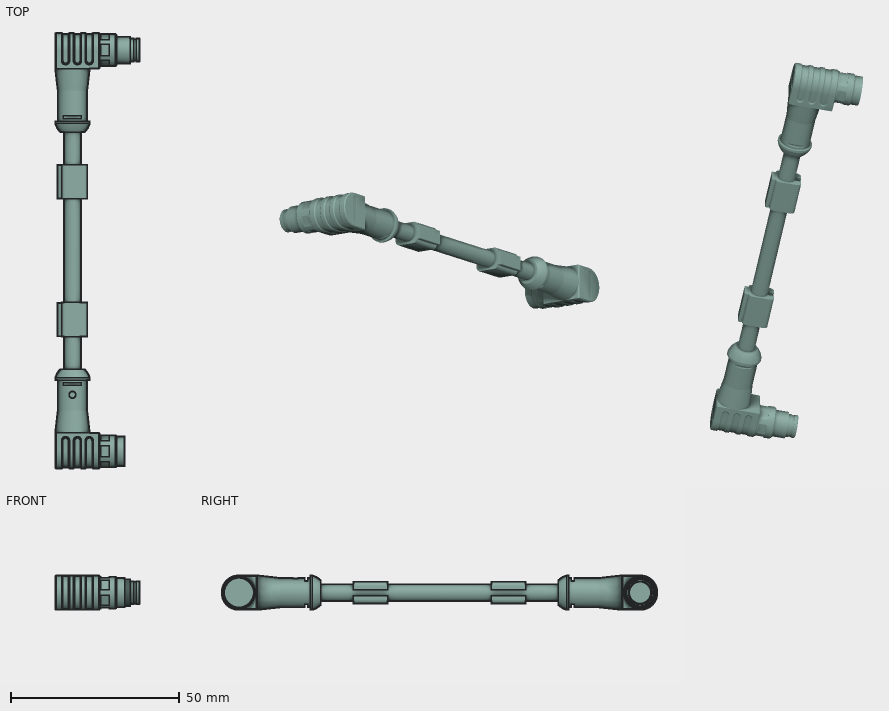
import cadquery as cq
import math

OVERALL_LENGTH = 129.6
OVERALL_WIDTH = 25.2
CABLE_RADIUS = 5.1 / 2

HOUSING_RADIUS = 10.3 / 2
HOUSING_LENGTH = 13.25
HOUSING_SQUARE_DEPTH = 5.5
HOUSING_CHAMFER = 0.3
HOUSING_BACK = -HOUSING_RADIUS
HOUSING_FRONT = HOUSING_BACK + HOUSING_LENGTH
PLUG_AXIS_Y = OVERALL_LENGTH / 2 - HOUSING_RADIUS

SLOT_COUNT = 3
SLOT_PITCH = 3.51
SLOT_WIDTH = 2.36
SLOT_FLOOR_WIDTH = 1.7
SLOT_REACH = 4.3
SLOT_DEPTH = 0.3

PANEL_WIDTH = 1.56
PANEL_HEIGHT = 8.2
PANEL_DEPTH = 0.1

SLEEVE_RADIUS = 8.8 / 2
SLEEVE_ROOT_RADIUS = HOUSING_RADIUS
SLEEVE_TAPER_MID_RADIUS = 4.8
COLLAR_RADIUS = 10.3 / 2
COLLAR_END_RADIUS = 7.2 / 2
TAPER_END = 17.2
COLLAR_START = 26.3
COLLAR_RIM_END = 26.95
COLLAR_END = 29.55
COLLAR_BULGE = 0.15
NOTCH_START = 24.75
NOTCH_WIDTH = 0.8
NOTCH_FLOOR_Z = 3.5

DOT_RADIUS = 2.0 / 2
DOT_DISTANCE = 21.95
DOT_FLOOR_Z = 4.2

NUT_RADIUS = 9.6 / 2
NUT_END = 13.2
NUT_CHAMFER = 0.4
NUT_FLAT_COUNT = 6
NUT_FLAT_DISTANCE = 4.5
NUT_FLAT_START = HOUSING_FRONT + 0.3
NUT_FLAT_END = 10.95

SOCKET_RADIUS = 8.8 / 2
SOCKET_END = 15.5
PIN_SHELL_RADIUS = 8.0 / 2
PIN_SHELL_END = 17.15
TIP_RADIUS = 6.9 / 2
TIP_END = HOUSING_BACK + OVERALL_WIDTH
TIP_CHAMFER = 0.2
TIP_GROOVE_RADIUS = 6.5 / 2
TIP_GROOVE_START = 18.2
TIP_GROOVE_END = 19.0

CLIP_SPACING = 41.0
CLIP_LENGTH = 10.2
CLIP_HALF_HEIGHT = 6.5 / 2
CLIP_HALF_WIDTH = 4.45
CLIP_BACK = -3.2
CLIP_BACK_ROUND = 1.1
CLIP_LIP_ROUND = 1.3
LABEL_LENGTH = 10.0
LABEL_HALF_HEIGHT = 2.15
LABEL_EDGE_ROUND = 0.25
CLIP_OPENING = 1.8


def round_bar(radius, start, end):
    """Cylinder on the plug axis between two X positions."""
    plane = cq.Workplane("YZ", origin=(start, PLUG_AXIS_Y, 0))
    return plane.circle(radius).extrude(end - start)


def grip_slot(x):
    """Cutter with sloping walls: one tapered slot on each flat side, joined around the half round."""
    half_width = SLOT_WIDTH / 2
    half_floor = SLOT_FLOOR_WIDTH / 2
    wall_angle = math.degrees(math.atan2(half_width - half_floor, SLOT_DEPTH))
    floor_radius = HOUSING_RADIUS - SLOT_DEPTH
    straight_end = half_width - SLOT_REACH

    top = (
        cq.Workplane("XY", origin=(x, PLUG_AXIS_Y, HOUSING_RADIUS))
        .moveTo(-half_width, SLOT_REACH)
        .lineTo(-half_width, straight_end)
        .threePointArc((0, -SLOT_REACH), (half_width, straight_end))
        .lineTo(half_width, SLOT_REACH)
        .close()
        .extrude(-SLOT_DEPTH, taper=wall_angle)
    )
    flat_side = cq.Workplane("XY").box(SLOT_PITCH, SLOT_REACH, HOUSING_RADIUS, centered=(True, False, False))
    top = top.intersect(flat_side.translate((x, PLUG_AXIS_Y - SLOT_REACH, HOUSING_RADIUS / 2)))

    overshoot = SLOT_DEPTH
    wall_slope = (half_width - half_floor) / SLOT_DEPTH
    outer_half = half_width + overshoot * wall_slope
    around = (
        cq.Workplane("XZ", origin=(x, PLUG_AXIS_Y, 0))
        .moveTo(-outer_half, HOUSING_RADIUS + overshoot)
        .lineTo(-half_floor, floor_radius)
        .lineTo(half_floor, floor_radius)
        .lineTo(outer_half, HOUSING_RADIUS + overshoot)
        .close()
        .revolve(180, (0, 0, 0), (-1, 0, 0))
    )
    return top.union(top.mirror("XY")).union(around)


def housing():
    """D-shaped block along X with grip slots and a shallow panel in its back face."""
    body = (
        cq.Workplane("YZ", origin=(HOUSING_BACK, PLUG_AXIS_Y, 0))
        .moveTo(-HOUSING_SQUARE_DEPTH, -HOUSING_RADIUS)
        .lineTo(0, -HOUSING_RADIUS)
        .threePointArc((HOUSING_RADIUS, 0), (0, HOUSING_RADIUS))
        .lineTo(-HOUSING_SQUARE_DEPTH, HOUSING_RADIUS)
        .close()
        .extrude(HOUSING_LENGTH)
        .faces("<X or >X")
        .chamfer(HOUSING_CHAMFER)
    )
    middle = HOUSING_BACK + HOUSING_LENGTH / 2
    for index in range(SLOT_COUNT):
        offset = index - (SLOT_COUNT - 1) / 2
        body = body.cut(grip_slot(middle + offset * SLOT_PITCH))
    panel = cq.Workplane("XY").box(2 * PANEL_DEPTH, PANEL_WIDTH, PANEL_HEIGHT)
    return body.cut(panel.translate((HOUSING_BACK, PLUG_AXIS_Y, 0)))


def sleeve():
    """Turned cable sleeve: bulged taper, cylinder and rounded collar, with a notch on each side."""
    outer_end = OVERALL_LENGTH / 2
    housing_side = PLUG_AXIS_Y - HOUSING_SQUARE_DEPTH
    taper_y = outer_end - TAPER_END
    collar_y = outer_end - COLLAR_START
    rim_y = outer_end - COLLAR_RIM_END
    end_y = outer_end - COLLAR_END
    collar_mid_radius = (COLLAR_RADIUS + COLLAR_END_RADIUS) / 2 + COLLAR_BULGE
    body = (
        cq.Workplane("XY")
        .moveTo(0, housing_side)
        .lineTo(SLEEVE_ROOT_RADIUS, housing_side)
        .threePointArc((SLEEVE_TAPER_MID_RADIUS, (housing_side + taper_y) / 2), (SLEEVE_RADIUS, taper_y))
        .lineTo(SLEEVE_RADIUS, collar_y)
        .lineTo(COLLAR_RADIUS, collar_y)
        .lineTo(COLLAR_RADIUS, rim_y)
        .threePointArc((collar_mid_radius, (rim_y + end_y) / 2 - COLLAR_BULGE), (COLLAR_END_RADIUS, end_y))
        .lineTo(0, end_y)
        .close()
        .revolve(360, (0, 0, 0), (0, 1, 0))
    )
    notch_height = SLEEVE_RADIUS - NOTCH_FLOOR_Z
    notch = cq.Workplane("XY").box(2 * SLEEVE_RADIUS, NOTCH_WIDTH, notch_height)
    notch_y = outer_end - NOTCH_START - NOTCH_WIDTH / 2
    for side in (-1, 1):
        body = body.cut(notch.translate((0, notch_y, side * (NOTCH_FLOOR_Z + notch_height / 2))))
    return body


def coupling_nut():
    """Round nut with flats around the part next to the housing."""
    nut = round_bar(NUT_RADIUS, HOUSING_FRONT, NUT_END).faces(">X").chamfer(NUT_CHAMFER)
    flat_length = NUT_FLAT_END - NUT_FLAT_START
    flat = cq.Workplane("XY").box(flat_length, NUT_RADIUS * 2, NUT_RADIUS, centered=(False, True, False))
    flat = flat.translate((NUT_FLAT_START, PLUG_AXIS_Y, NUT_FLAT_DISTANCE))
    for index in range(NUT_FLAT_COUNT):
        angle = index * 360 / NUT_FLAT_COUNT
        nut = nut.cut(flat.rotate((0, PLUG_AXIS_Y, 0), (1, PLUG_AXIS_Y, 0), angle))
    return nut


def pin_front():
    """Stepped front of the pin connector with a groove around its tip."""
    shell = round_bar(PIN_SHELL_RADIUS, HOUSING_FRONT, PIN_SHELL_END)
    tip = round_bar(TIP_RADIUS, HOUSING_FRONT, TIP_END).faces(">X").chamfer(TIP_CHAMFER)
    groove = round_bar(PIN_SHELL_RADIUS, TIP_GROOVE_START, TIP_GROOVE_END)
    groove = groove.cut(round_bar(TIP_GROOVE_RADIUS, TIP_GROOVE_START, TIP_GROOVE_END))
    return shell.union(tip.cut(groove))


def connector(front):
    """Complete angled connector at the +Y end of the cable."""
    return sleeve().union(housing()).union(coupling_nut()).union(front)


def marker_dot():
    """Cutter for the round flat in the socket connector's sleeve."""
    dot_y = DOT_DISTANCE - OVERALL_LENGTH / 2
    return cq.Workplane("XY", origin=(0, dot_y, DOT_FLOOR_Z)).circle(DOT_RADIUS).extrude(SLEEVE_RADIUS)


def label_clip(y):
    """Clip around the cable: label plate on -X, lips with an opening between them on +X."""
    holder = (
        cq.Workplane("XY")
        .box(CLIP_HALF_WIDTH - CLIP_BACK, CLIP_LENGTH, 2 * CLIP_HALF_HEIGHT, centered=(False, True, True))
        .translate((CLIP_BACK, 0, 0))
    )
    holder = holder.edges("|Y and <X").fillet(CLIP_BACK_ROUND)
    holder = holder.edges("|Y and >X").fillet(CLIP_LIP_ROUND)
    opening = cq.Workplane("XY").box(CLIP_HALF_WIDTH, CLIP_LENGTH, CLIP_OPENING, centered=(False, True, True))
    label = (
        cq.Workplane("XY")
        .box(CLIP_HALF_WIDTH, LABEL_LENGTH, 2 * LABEL_HALF_HEIGHT, centered=(False, True, True))
        .translate((-CLIP_HALF_WIDTH, 0, 0))
        .edges("|Y and <X")
        .fillet(LABEL_EDGE_ROUND)
    )
    return holder.cut(opening).union(label).translate((0, y, 0))


pin_connector = connector(pin_front())
socket_connector = connector(round_bar(SOCKET_RADIUS, HOUSING_FRONT, SOCKET_END))
socket_connector = socket_connector.rotate((0, 0, 0), (1, 0, 0), 180).cut(marker_dot())

cable_length = 2 * PLUG_AXIS_Y
result = cq.Workplane("XZ", origin=(0, PLUG_AXIS_Y, 0)).circle(CABLE_RADIUS).extrude(cable_length)
for clip_y in (-CLIP_SPACING / 2, CLIP_SPACING / 2):
    result = result.union(label_clip(clip_y))
result = result.union(pin_connector).union(socket_connector)